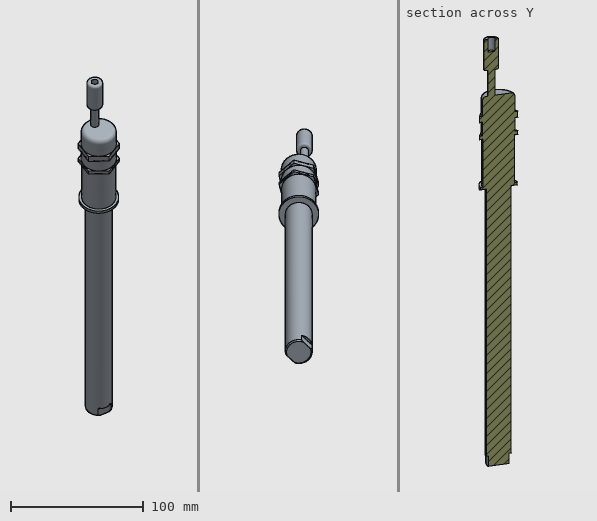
import cadquery as cq

total_height = 346.0
flange_bottom = 224.5
flange_top = 227.0
lower_hex_bottom = 265.5
lower_hex_top = 268.5
upper_hex_bottom = 279.2
upper_hex_top = 284.5
head_top = 300.0
plug_bottom = 320.5

tube_diameter = 20.5
tube_end_chamfer = 1.0
flange_diameter = 30.0
sleeve_diameter = 26.0
head_diameter = 26.5
head_fillet = 3.5
hex_across_corners = 31.0

flat_height = 8.3
across_flats = 17.0

cable_offset = -6.0
cable_diameter = 6.2
plug_diameter = 12.0
plug_fillet = 1.7
socket_diameter = 5.2
socket_depth = 10.5


def cylinder(diameter, bottom, top, x=0.0):
    return cq.Workplane("XY", origin=(x, 0, bottom)).circle(diameter / 2).extrude(top - bottom)


def hex_ring(bottom, top):
    """Hexagon with two opposite corners on the X axis."""
    return cq.Workplane("XY", origin=(0, 0, bottom)).polygon(6, hex_across_corners).extrude(top - bottom)


def make_tube():
    tube = cylinder(tube_diameter, 0, flange_bottom).faces("<Z").chamfer(tube_end_chamfer)
    flat_end = (
        cq.Workplane("XY")
        .rect(across_flats, tube_diameter)
        .extrude(flat_height)
    )
    upper_tube = cylinder(tube_diameter, flat_height, flange_bottom)
    return tube.intersect(flat_end).union(upper_tube)


def make_body():
    body = cylinder(head_diameter, lower_hex_top, head_top).faces(">Z").edges().fillet(head_fillet)
    body = body.union(cylinder(sleeve_diameter, flange_top, lower_hex_top))
    body = body.union(cylinder(flange_diameter, flange_bottom, flange_top))
    body = body.union(hex_ring(lower_hex_bottom, lower_hex_top))
    return body.union(hex_ring(upper_hex_bottom, upper_hex_top))


def make_cable_and_plug():
    plug = cylinder(plug_diameter, plug_bottom, total_height, cable_offset)
    plug = plug.faces("<Z or >Z").edges().fillet(plug_fillet)
    socket = cylinder(socket_diameter, total_height - socket_depth, total_height, cable_offset)
    cable = cylinder(cable_diameter, head_top, plug_bottom, cable_offset)
    return plug.cut(socket).union(cable)


result = make_tube().union(make_body()).union(make_cable_and_plug())